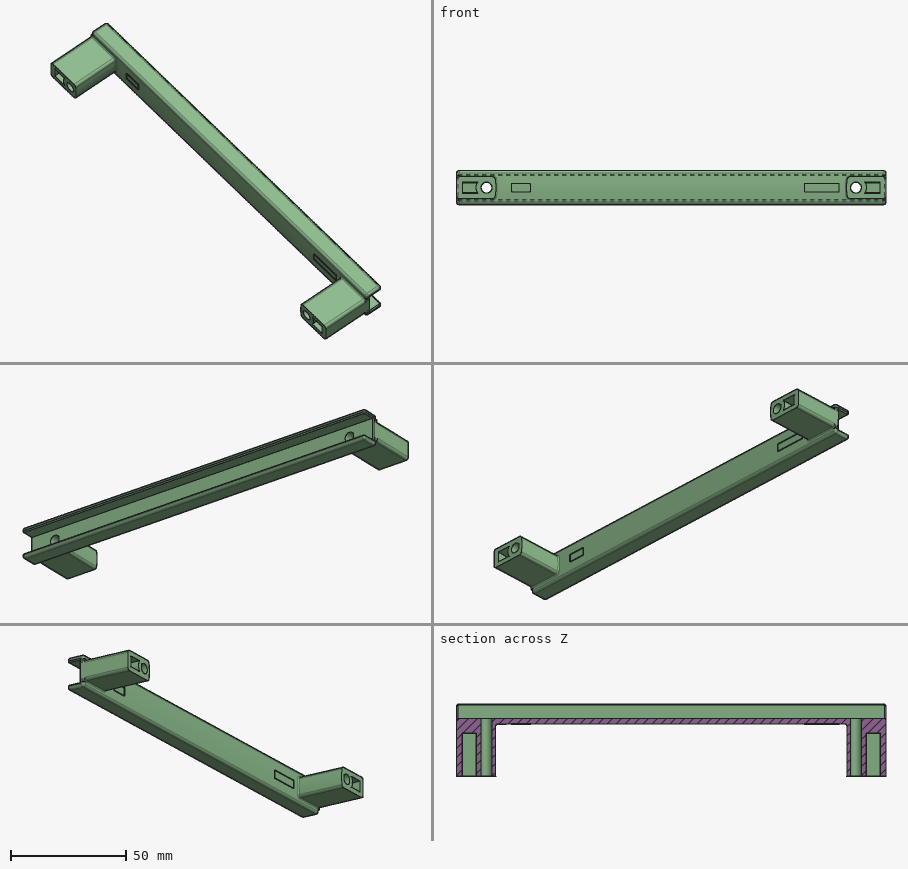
import cadquery as cq

length = 186.0
depth = 31.5
height = 14.9

wall = 2.2
grip_depth = 9.0
web_thickness = 2.6
web_bulge = 0.4
outer_radius = 1.2
mouth_chamfer = 0.5
grip_front = depth - grip_depth
channel_floor = grip_front + web_thickness

leg_length = grip_front + web_thickness / 2
leg_height = 9.5
leg_width = 17.1
leg_bulge = 0.5
leg_corner_radius = 1.3
neck_radius = 0.5

hole_spacing = 160.0
hole_diameter = 4.6
pocket_outer_wall = 2.6
pocket_depth = 18.6
pocket_draft = 1.5

panel_height = 3.7
panel_depth = 0.4
panel_corner_radius = 0.4
left_panel_start = -69.2
left_panel_width = 8.2
right_panel_start = 57.7
right_panel_width = 15.0

half_length = length / 2
half_height = height / 2
hole_x = hole_spacing / 2


def make_bar(bar_length):
    """Sharp-edged solid bar with a slightly convex front."""
    side_y = grip_front + web_bulge
    return (
        cq.Workplane("YZ", origin=(-bar_length / 2, 0, 0))
        .moveTo(side_y, -half_height)
        .lineTo(depth, -half_height)
        .lineTo(depth, half_height)
        .lineTo(side_y, half_height)
        .threePointArc((grip_front, 0), (side_y, -half_height))
        .close()
        .extrude(bar_length)
    )


def make_grip():
    """Rounded bar hollowed into a channel."""
    bar = make_bar(length).edges().fillet(outer_radius)
    channel = cq.Workplane("XY").box(
        length, depth - channel_floor, height - 2 * wall, centered=(True, False, True)
    )
    bar = bar.cut(channel.translate((0, channel_floor, 0)))
    return chamfer_channel_mouths(bar)


def chamfer_channel_mouths(bar):
    """Break the inner edges where the channel runs out at both ends."""
    half_gap = half_height - wall
    margin = 0.2
    mouths = cq.selectors.BoxSelector(
        (-length, channel_floor - margin, -half_gap - margin),
        (length, depth + margin, half_gap + margin),
    )
    return bar.faces("<X or >X").edges(mouths).chamfer(mouth_chamfer)


def make_leg():
    """Right-hand leg: flat outer side, convex inner side, rounded long corners."""
    half_leg = leg_height / 2
    inner_x = half_length - leg_width
    return (
        cq.Workplane("XZ", origin=(0, leg_length, 0))
        .moveTo(half_length, -half_leg)
        .lineTo(half_length, half_leg)
        .lineTo(inner_x + leg_bulge, half_leg)
        .threePointArc((inner_x, 0), (inner_x + leg_bulge, -half_leg))
        .close()
        .extrude(leg_length)
        .edges("|Y")
        .fillet(leg_corner_radius)
    )


def make_leg_cuts():
    """Through hole and a pocket beside it, drafted in height and wrapped around the hole."""
    hole_length = channel_floor
    hole = cq.Workplane("XZ").center(hole_x, 0).circle(hole_diameter / 2).extrude(-hole_length)
    sleeve = cq.Workplane("XZ").center(hole_x, 0).circle(hole_diameter / 2 + wall).extrude(-hole_length)
    pocket_limit = cq.Workplane("XY").box(
        half_length - pocket_outer_wall - hole_x, pocket_depth, leg_height, centered=(False, False, True)
    )
    pocket = (
        cq.Workplane("XZ")
        .center(hole_x, 0)
        .rect(2 * leg_width, leg_height - 2 * wall)
        .extrude(-pocket_depth, taper=pocket_draft)
        .intersect(pocket_limit.translate((hole_x, 0, 0)))
        .cut(sleeve)
    )
    return hole.union(pocket)


def make_footed_leg():
    """Right-hand leg with a rounded neck where it grows out of the web."""
    neck_edges = cq.selectors.BoxSelector(
        (half_length - leg_width - neck_radius, grip_front - neck_radius, -leg_height / 2 - neck_radius),
        (half_length + neck_radius, grip_front + web_bulge, leg_height / 2 + neck_radius),
    )
    overlong_bar = make_bar(length + 4 * neck_radius)
    flared_leg = overlong_bar.union(make_leg()).edges(neck_edges).fillet(neck_radius)
    root = cq.Workplane("XY").box(
        leg_width + neck_radius, leg_length, leg_height + 2 * neck_radius, centered=(False, False, True)
    )
    return flared_leg.intersect(root.translate((half_length - leg_width - neck_radius, 0, 0)))


def make_panel(start, width):
    """Recess cutter with a flat floor just below the crown of the web."""
    return (
        cq.Workplane("XY")
        .box(width, 2 * panel_depth, panel_height)
        .edges("|Y")
        .fillet(panel_corner_radius)
        .translate((start + width / 2, grip_front, 0))
    )


right_leg = make_footed_leg()
right_cuts = make_leg_cuts()
body = make_grip().union(right_leg).union(right_leg.mirror("YZ"))
body = body.cut(right_cuts).cut(right_cuts.mirror("YZ"))
body = body.cut(make_panel(left_panel_start, left_panel_width))
result = body.cut(make_panel(right_panel_start, right_panel_width))